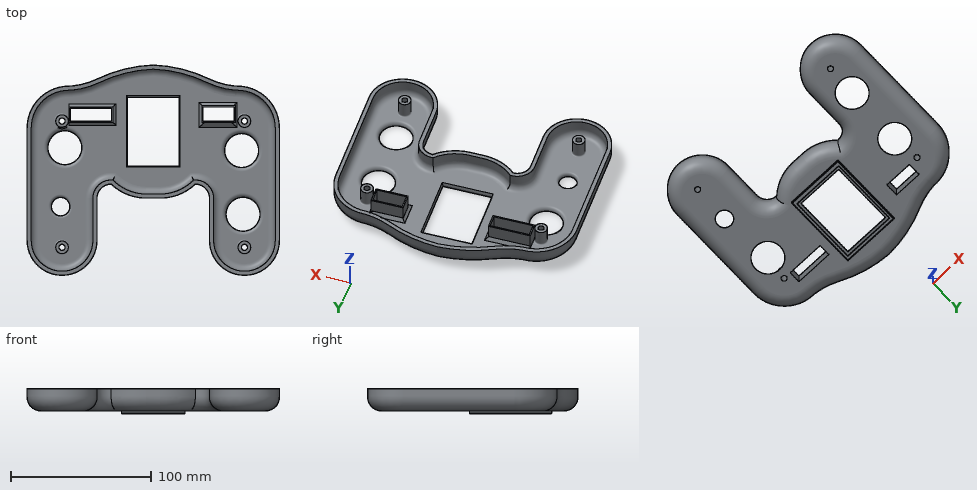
import cadquery as cq
import math

half_width = 90.0
bezel_depth = 2.0
shell_height = 16.0
shell_bottom = bezel_depth
rim_top = shell_bottom + shell_height

wall = 3.0
floor_thickness = 3.0
floor_top = shell_bottom + floor_thickness
outer_edge_radius = 10.0
inner_edge_radius = 5.0

grip_radius = 25.0
grip_center = (half_width - grip_radius, -50.0)
shoulder_radius = 30.0
shoulder_center = (half_width - shoulder_radius, 30.0)
notch_radius = 10.0
notch_center = (half_width - 2 * grip_radius - notch_radius, -20.0)
belly_half_flat = 5.0
hollow_radius = 55.0
dome_start = (39.6, 65.2)
dome_top = (0.0, 75.0)
dome_radius = 100.0

center_overlap_x = -3.0
main_cut = (22.0, 10.0)
belly_cut = (31.0, 30.0)

window_x = (-18.4, 18.4)
window_y = (3.0, 51.8)
window_flare = 0.6
window_top_flare = 1.4
window_flare_depth = 2.0
screen_recess_margin = 2.0
screen_recess_depth = 1.5
bezel_x = (-22.8, 22.8)
bezel_y = (-2.4, 56.4)
bezel_chamfer = 0.6

control_openings = (
    (-63.0, 16.0, 24.0, 3.0),
    (63.0, 14.0, 24.0, 3.0),
    (64.0, -31.4, 24.0, 3.0),
    (-66.0, -26.0, 13.0, 2.1),
)

post_diameter = 9.0
post_hole_diameter = 4.2
post_foot_radius = 1.0
post_top = rim_top - 0.5
post_x = 65.0
post_rows_y = (35.0, -55.0)

sleeve_wall = 1.0
left_sleeve_x = (-60.0, -28.8)
left_sleeve_y = (34.0, 45.0)
left_skirt_x = (left_sleeve_x[0], -26.6)
left_skirt_y = (32.0, 47.3)
right_sleeve_x = (34.6, 58.6)
right_sleeve_y = (34.0, 46.0)
right_skirt_x = (32.6, 59.7)
right_skirt_y = (30.3, 48.4)


def circle_crossing(center_a, radius_a, center_b, radius_b):
    """Crossing of two circles that lies left of the line from center a to center b."""
    dx = center_b[0] - center_a[0]
    dy = center_b[1] - center_a[1]
    distance = math.hypot(dx, dy)
    along = (distance**2 + radius_a**2 - radius_b**2) / (2 * distance)
    aside = math.sqrt(radius_a**2 - along**2)
    return (
        center_a[0] + (along * dx - aside * dy) / distance,
        center_a[1] + (along * dy + aside * dx) / distance,
    )


def point_on_line(start, end, fraction):
    """Point on the line through start and end; fraction 0 is the start, 1 the end."""
    return (start[0] + fraction * (end[0] - start[0]), start[1] + fraction * (end[1] - start[1]))


def arc_middle(center, radius, start, end):
    """Middle point of the shorter arc from start to end around the center."""
    dx = (start[0] + end[0]) / 2 - center[0]
    dy = (start[1] + end[1]) / 2 - center[1]
    scale = radius / math.hypot(dx, dy)
    return (center[0] + dx * scale, center[1] + dy * scale)


def main_piece(inset, height):
    """Prism of the right half without the belly, and its bottom edges that lie on the outline."""
    side_x = half_width - inset
    grip_r = grip_radius - inset
    shoulder_r = shoulder_radius - inset
    notch_r = notch_radius + inset
    hollow_r = hollow_radius + inset
    dome_r = dome_radius - inset

    notch_rise = math.sqrt(notch_r**2 - (notch_center[0] - main_cut[0]) ** 2)
    notch_start = (main_cut[0], notch_center[1] + notch_rise)
    notch_end = (notch_center[0] + notch_r, notch_center[1])
    grip_inner = (grip_center[0] - grip_r, grip_center[1])
    grip_tip = (grip_center[0], grip_center[1] - grip_r)
    grip_outer = (side_x, grip_center[1])
    shoulder_start = (side_x, shoulder_center[1])
    shoulder_end = (shoulder_center[0], shoulder_center[1] + shoulder_r)

    dome_center = circle_crossing(dome_start, dome_radius, dome_top, dome_radius)
    hollow_center = point_on_line(dome_center, dome_start, 1 + hollow_radius / dome_radius)
    hollow_run = math.sqrt(hollow_r**2 - (hollow_center[1] - shoulder_end[1]) ** 2)
    hollow_start = (hollow_center[0] - hollow_run, shoulder_end[1])
    hollow_end = point_on_line(dome_center, dome_start, dome_r / dome_radius)
    dome_run = dome_center[0] - center_overlap_x
    dome_end = (center_overlap_x, dome_center[1] + math.sqrt(dome_r**2 - dome_run**2))

    prism = (
        cq.Workplane("XY")
        .moveTo(center_overlap_x, main_cut[1])
        .lineTo(*main_cut)
        .lineTo(*notch_start)
        .threePointArc(arc_middle(notch_center, notch_r, notch_start, notch_end), notch_end)
        .lineTo(*grip_inner)
        .threePointArc(grip_tip, grip_outer)
        .lineTo(*shoulder_start)
        .threePointArc(arc_middle(shoulder_center, shoulder_r, shoulder_start, shoulder_end), shoulder_end)
        .lineTo(*hollow_start)
        .threePointArc(arc_middle(hollow_center, hollow_r, hollow_start, hollow_end), hollow_end)
        .threePointArc(arc_middle(dome_center, dome_r, hollow_end, dome_end), dome_end)
        .close()
        .extrude(height)
    )
    edges = prism.faces("<Z").edges().vals()
    return prism, [e for e in edges if e.geomType() == "CIRCLE" or e.Center().x > main_cut[0]]


def belly_piece(inset, height):
    """Prism of the right half of the belly, and its bottom edges that lie on the outline."""
    belly_run = notch_center[0] - belly_half_flat
    belly_radius = (belly_run**2 + notch_radius**2) / (2 * notch_radius)
    belly_center = (belly_half_flat, notch_center[1] + belly_radius)
    belly_r = belly_radius - inset
    flat_y = notch_center[1] + inset
    arc_start = (belly_half_flat, flat_y)
    arc_drop = math.sqrt(belly_r**2 - (belly_cut[0] - belly_center[0]) ** 2)
    arc_end = (belly_cut[0], belly_center[1] - arc_drop)

    prism = (
        cq.Workplane("XY")
        .moveTo(center_overlap_x, flat_y)
        .lineTo(*arc_start)
        .threePointArc(arc_middle(belly_center, belly_r, arc_start, arc_end), arc_end)
        .lineTo(*belly_cut)
        .lineTo(center_overlap_x, belly_cut[1])
        .close()
        .extrude(height)
    )
    edges = prism.faces("<Z").edges().vals()
    return prism, [e for e in edges if e.Center().y < 0]


def rounded_tray(inset, height, bottom_z, edge_radius):
    """Solid of the whole outline, moved inwards by the inset, with its bottom edge rounded."""
    half = cq.Workplane("XY")
    for piece in (main_piece, belly_piece):
        prism, outer_edges = piece(inset, height)
        half = half.union(prism.newObject(outer_edges).fillet(edge_radius))
    half = half.cut(block((2 * center_overlap_x, 0), (-half_width, half_width), 0, height))
    whole = half.union(half.mirror("YZ"))
    return whole.translate((0, 0, bottom_z))


def block(x_limits, y_limits, z_min, z_max):
    """Axis-aligned block between the given limits."""
    size = (x_limits[1] - x_limits[0], y_limits[1] - y_limits[0], z_max - z_min)
    corner = (x_limits[0], y_limits[0], z_min)
    return cq.Workplane("XY").box(*size, centered=False).translate(corner)


def tapered_block(low_x, low_y, high_x, high_y, z_min, z_max):
    """Solid between a lower and an upper rectangle, each given by its x and y limits."""
    low_center = (sum(low_x) / 2, sum(low_y) / 2)
    shift = (sum(high_x) / 2 - low_center[0], sum(high_y) / 2 - low_center[1])
    return (
        cq.Workplane("XY", origin=(*low_center, z_min))
        .rect(low_x[1] - low_x[0], low_y[1] - low_y[0])
        .workplane(offset=z_max - z_min)
        .center(*shift)
        .rect(high_x[1] - high_x[0], high_y[1] - high_y[0])
        .loft(ruled=True)
    )


def widened(limits, low_margin, high_margin):
    """Limits moved outwards by a margin at each end."""
    return (limits[0] - low_margin, limits[1] + high_margin)


def bezel():
    """Plate under the floor with a chamfered lower edge."""
    plate = block(bezel_x, bezel_y, 0, floor_top)
    return plate.faces("<Z").edges().chamfer(bezel_chamfer)


def window():
    """Screen opening that flares out at the inside of the floor and is recessed from below."""
    flare_x = widened(window_x, window_flare, window_flare)
    flare_y = widened(window_y, window_flare, window_top_flare)
    recess_x = widened(window_x, screen_recess_margin, screen_recess_margin)
    recess_y = widened(window_y, screen_recess_margin, screen_recess_margin)
    flare_z = floor_top - window_flare_depth
    opening = block(window_x, window_y, 0, floor_top)
    opening = opening.union(tapered_block(window_x, window_y, flare_x, flare_y, flare_z, floor_top))
    return opening.union(block(recess_x, recess_y, 0, screen_recess_depth))


def control_opening(x, y, diameter, edge_radius):
    """Round opening whose inner edge is rounded over."""
    radius = diameter / 2
    arc_center = (radius + edge_radius, floor_top - edge_radius)
    arc_start = (radius, arc_center[1])
    arc_end = (arc_center[0], floor_top)
    corner = (radius, floor_top)
    profile = (
        cq.Workplane("XZ")
        .lineTo(radius, 0)
        .lineTo(*arc_start)
        .threePointArc(arc_middle(arc_center, edge_radius, corner, corner), arc_end)
        .lineTo(0, floor_top)
        .close()
    )
    return profile.revolve(360, (0, 0), (0, 1)).translate((x, y, 0))


def post():
    """Solid screw post with a hollow-rounded foot on the floor."""
    radius = post_diameter / 2
    foot_center = (radius + post_foot_radius, floor_top + post_foot_radius)
    foot_corner = (radius, floor_top)
    profile = (
        cq.Workplane("XZ")
        .moveTo(0, shell_bottom)
        .lineTo(foot_center[0], shell_bottom)
        .lineTo(foot_center[0], floor_top)
        .threePointArc(
            arc_middle(foot_center, post_foot_radius, foot_corner, foot_corner),
            (radius, foot_center[1]),
        )
        .lineTo(radius, post_top)
        .lineTo(0, post_top)
        .close()
    )
    return profile.revolve(360, (0, 0), (0, 1))


def sleeve(x_limits, y_limits, skirt_x, skirt_y):
    """Solid block of a sleeve and its skirt, before the passage is cut."""
    body = block(x_limits, y_limits, shell_bottom, rim_top)
    slopes_x = (x_limits[0] - skirt_x[0], skirt_x[1] - x_limits[1])
    slopes_y = (y_limits[0] - skirt_y[0], skirt_y[1] - y_limits[1])
    height = max(*slopes_x, *slopes_y)
    low_side = height if slopes_x[0] > 0 else 0
    top_x = widened(skirt_x, -low_side, -height)
    top_y = widened(skirt_y, -height, -height)
    return body.union(tapered_block(skirt_x, skirt_y, top_x, top_y, floor_top, floor_top + height))


def sleeve_passage(x_limits, y_limits):
    """Passage through a sleeve and the floor below it."""
    inner_x = widened(x_limits, -sleeve_wall, -sleeve_wall)
    inner_y = widened(y_limits, -sleeve_wall, -sleeve_wall)
    return block(inner_x, inner_y, shell_bottom, rim_top)


cavity_height = shell_height - floor_thickness
result = rounded_tray(0, shell_height, shell_bottom, outer_edge_radius)
result = result.cut(rounded_tray(wall, cavity_height, floor_top, inner_edge_radius))
result = result.union(bezel())

post_places = [(side * post_x, y) for side in (-1, 1) for y in post_rows_y]
result = result.union(sleeve(left_sleeve_x, left_sleeve_y, left_skirt_x, left_skirt_y))
result = result.union(sleeve(right_sleeve_x, right_sleeve_y, right_skirt_x, right_skirt_y))
for x, y in post_places:
    result = result.union(post().translate((x, y, 0)))

result = result.cut(window())
for opening in control_openings:
    result = result.cut(control_opening(*opening))
result = result.cut(sleeve_passage(left_sleeve_x, left_sleeve_y))
result = result.cut(sleeve_passage(right_sleeve_x, right_sleeve_y))
post_hole = cq.Workplane("XY").circle(post_hole_diameter / 2).extrude(rim_top)
for x, y in post_places:
    result = result.cut(post_hole.translate((x, y, 0)))